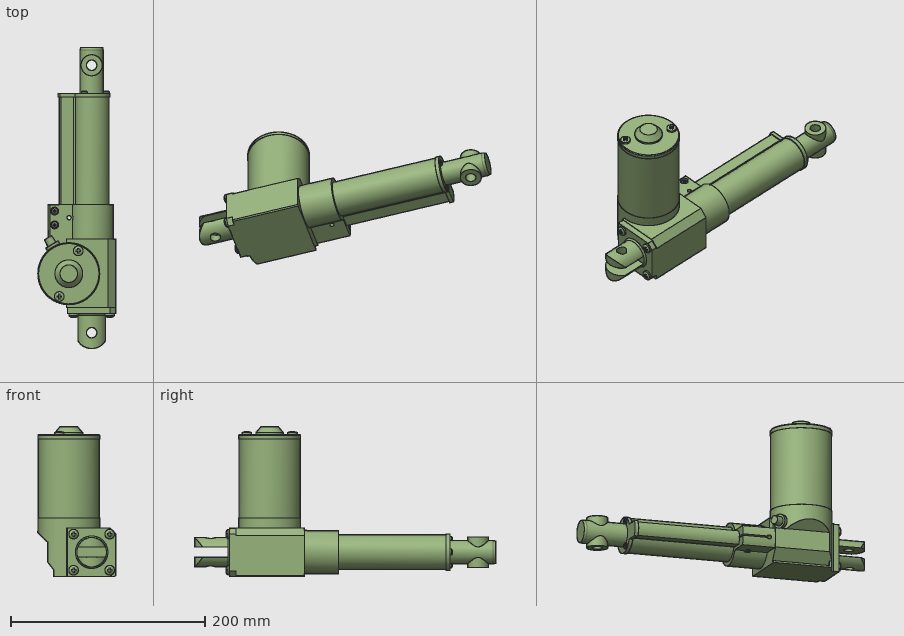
import cadquery as cq
import math


OVERALL_LENGTH = 310
HOLE_RADIUS = 5.3

MOTOR_X = -23.5
MOTOR_RADIUS = 32.0
MOTOR_BOTTOM = 35.3
MOTOR_LID_BOTTOM = 116.5
MOTOR_TOP = 121.2
MOTOR_LID_LIP = 0.3
MOTOR_EDGE_CHAMFER = 1.0
BOSS_RADIUS = 14.3
BOSS_TOP_RADIUS = 9.0
BOSS_RIM = 2.0
BOSS_TOP = 129.2
MOTOR_SCREW_CIRCLE = 25.5
MOTOR_SCREW_ANGLE = 67.5
MOTOR_SCREW_HEIGHT = 2.8

HOUSING_BOTTOM = -25.0
BOX_TOP = 25.0
BOX_LEFT = -26.0
BOX_RIGHT = 24.8
BOX_FRONT = -34.7
BOX_BACK = 35.5
BOX_TOP_CHAMFER = 7.7
BOX_BOTTOM_CHAMFER = 1.2
PLATE_TOP = 24.8
PLATE_LEFT = -25.0
PLATE_FRONT = -41.2
PLATE_CHAMFER = 6.0
PLATE_SCREW_OFFSET = 18.5

PAD_LEFT = -45.2
PAD_HALF_HEIGHT = 10.2
UNDERCUT_TOP = 20.0
FOOT_LEFT = -39.0
FOOT_BEVEL_Z = -18.3
FOOT_THICKNESS = 2.0
FOOT_POCKET_FRONT = -25.5

SLEEVE_RADIUS = 22.3
SLEEVE_BACK = 71.0
BRACKET_LEFT = -45.0
BRACKET_BULGE = 2.2
SLIT_WIDTH = 1.5
SLIT_END = 42.5
SLIT_HOLE_RADIUS = 2.2
CROSS_HOLE_X = -23.2
CROSS_HOLE_Y = 57.5
CROSS_HOLE_RADIUS = 2.0
SPOT_RADIUS_TOP = 4.0
SPOT_RADIUS_BOTTOM = 5.0
SPOT_HEIGHT_TOP = 6.2
SPOT_HEIGHT_BOTTOM = 1.2
CLAMP_SCREW_X = -38.0
CLAMP_SCREW_YS = (50.2, 64.5)
CLAMP_RECESS_RADIUS = 4.0
CLAMP_RECESS_DEPTH = 2.5
CLAMP_HEAD_RADIUS = 3.0
CLAMP_HEAD_HEIGHT = 2.0

GLAND_ANGLE = 120
GLAND_Z = 18.5
GLAND_COLLAR_RADIUS = 7.5
GLAND_COLLAR_END = 34.7
GLAND_STUB_RADIUS = 5.0
GLAND_TIP_RADIUS = 4.3
GLAND_END = 42.8

CLEVIS_RADIUS = 15.2
CLEVIS_FLARE_RADIUS = 16.7
CLEVIS_FLARE_HEIGHT = 2.0
CLEVIS_SLOT_WIDTH = 10.2
CLEVIS_HOLE_Y = -60.7
CLEVIS_TIP_RADIUS = 16.5

TUBE_RADIUS = 18.0
CAP_FRONT = 181.5
CAP_BACK = 185.5
CAP_RADIUS = 19.0
CAP_RAIL_LEFT = -34.7
CAP_RAIL_HALF_HEIGHT = 8.0
RAIL_LEFT = -33.5
RAIL_HALF_HEIGHT = 7.0
RAIL_BULGE = 2.2
RAIL_GROOVE_LEFT = -18.5
RAIL_GROOVE_DEPTH = 1.0
CAP_SCREW_CIRCLE = 15.2
CAP_SCREW_RADIUS = 3.0
CAP_SCREW_HEIGHT = 2.5
CAP_SCREW_COUNT = 3

ROD_RADIUS = 12.0
ROD_TAPER_LENGTH = 2.8
ROD_TAPER_DEPTH = 0.5
EYE_Y = 214.5
EYE_RADIUS = 11.0
EYE_HALF_HEIGHT = 15.8

SCREW_RADIUS = 5.0
SCREW_RIM = 2.0
SCREW_HEIGHT = 3.7
RECESS_DEPTH = 1.5
RECESS_LENGTH = 4.5
RECESS_WIDTH = 1.4

CLEVIS_SLOT_END = PLATE_FRONT - CLEVIS_FLARE_HEIGHT
CLEVIS_TIP = CLEVIS_HOLE_Y - CLEVIS_TIP_RADIUS
ROD_END = CLEVIS_TIP + OVERALL_LENGTH


def box(x_range, y_range, z_range):
    """Block between the given low and high limits on each axis."""
    limits = (x_range, y_range, z_range)
    sizes = [high - low for low, high in limits]
    corner = tuple(low for low, high in limits)
    return cq.Workplane("XY").box(*sizes, centered=False).translate(corner)


def bar_y(radius, y_start, y_end):
    """Round bar on the actuator axis."""
    return cq.Workplane("XZ", origin=(0, y_start, 0)).circle(radius).extrude(y_start - y_end)


def bar_z(radius, x, y, z_start, z_end):
    """Upright round bar."""
    return cq.Workplane("XY", origin=(x, y, z_start)).circle(radius).extrude(z_end - z_start)


def prism_y(points, y_start, y_end):
    """Outline of (X, Z) points extruded along Y."""
    return cq.Workplane("XZ", origin=(0, y_start, 0)).polyline(points).close().extrude(y_start - y_end)


def bulged_bar(left, bulge, half_height, y_start, y_end):
    """Bar along Y, from the actuator axis out to a left side that bulges as an arc."""
    shoulder = left + bulge
    return (
        cq.Workplane("XZ", origin=(0, y_start, 0))
        .moveTo(0, half_height)
        .lineTo(shoulder, half_height)
        .threePointArc((left, 0), (shoulder, -half_height))
        .lineTo(0, -half_height)
        .close()
        .extrude(y_start - y_end)
    )


def screw_head(radius, rim, height):
    """Domed head standing on Z = 0 with a cross recess in its top."""
    head = (
        cq.Workplane("XZ")
        .lineTo(radius, 0)
        .lineTo(radius, rim)
        .threePointArc((0.7 * radius, rim + 0.7 * (height - rim)), (0, height))
        .close()
        .revolve(360, (0, 0, 0), (0, 1, 0))
    )
    recess_scale = radius / SCREW_RADIUS
    for angle in (0, 90):
        slot = (
            cq.Workplane("XY", origin=(0, 0, height - RECESS_DEPTH * recess_scale))
            .rect(RECESS_LENGTH * recess_scale, RECESS_WIDTH * recess_scale)
            .extrude(height)
        )
        head = head.cut(slot.rotate((0, 0, 0), (0, 0, 1), angle))
    return head


def make_motor():
    can = bar_z(MOTOR_RADIUS - MOTOR_LID_LIP, MOTOR_X, 0, MOTOR_BOTTOM, MOTOR_LID_BOTTOM)
    lid = bar_z(MOTOR_RADIUS, MOTOR_X, 0, MOTOR_LID_BOTTOM, MOTOR_TOP)
    lid = lid.faces(">Z").chamfer(MOTOR_EDGE_CHAMFER)
    rim_top = MOTOR_TOP + BOSS_RIM
    boss = (
        cq.Workplane("XZ", origin=(MOTOR_X, 0, 0))
        .polyline([
            (0, MOTOR_TOP),
            (BOSS_RADIUS, MOTOR_TOP),
            (BOSS_RADIUS, rim_top),
            (BOSS_TOP_RADIUS, BOSS_TOP),
            (0, BOSS_TOP),
        ])
        .close()
        .revolve(360, (0, 0, 0), (0, 1, 0))
    )
    motor = can.union(lid).union(boss)
    for angle in (MOTOR_SCREW_ANGLE, MOTOR_SCREW_ANGLE + 180):
        x = MOTOR_X + MOTOR_SCREW_CIRCLE * math.cos(math.radians(angle))
        y = MOTOR_SCREW_CIRCLE * math.sin(math.radians(angle))
        head = screw_head(SCREW_RADIUS, SCREW_RIM, MOTOR_SCREW_HEIGHT)
        motor = motor.union(head.translate((x, y, MOTOR_TOP)))
    return motor


def make_motor_seat():
    """Round motor seat with the flat side pad, bevelled above and below and standing on a foot."""
    seat = bar_z(MOTOR_RADIUS, MOTOR_X, 0, HOUSING_BOTTOM, MOTOR_BOTTOM)
    pad_block = box((PAD_LEFT, MOTOR_X), (0, BOX_BACK), (HOUSING_BOTTOM, PAD_HALF_HEIGHT))
    seat_left = MOTOR_X - MOTOR_RADIUS
    outside = seat_left - 3
    below = HOUSING_BOTTOM - 3
    trim = prism_y(
        [
            (outside, UNDERCUT_TOP),
            (seat_left, UNDERCUT_TOP),
            (PAD_LEFT, PAD_HALF_HEIGHT),
            (PAD_LEFT, -PAD_HALF_HEIGHT),
            (FOOT_LEFT, FOOT_BEVEL_Z),
            (FOOT_LEFT, below),
            (outside, below),
        ],
        -MOTOR_RADIUS,
        BOX_BACK,
    )
    foot_top = HOUSING_BOTTOM + FOOT_THICKNESS
    bevel_slope = (FOOT_LEFT - PAD_LEFT) / (-PAD_HALF_HEIGHT - FOOT_BEVEL_Z)
    pocket_depth_x = FOOT_LEFT + bevel_slope * (FOOT_BEVEL_Z - foot_top)
    pocket = prism_y(
        [(FOOT_LEFT, FOOT_BEVEL_Z), (pocket_depth_x, foot_top), (FOOT_LEFT, foot_top)],
        FOOT_POCKET_FRONT,
        BOX_BACK,
    )
    return seat.union(pad_block).cut(trim).cut(pocket)


def make_gearbox():
    """Gearbox block with its front plate and four plate screws."""
    block = box((BOX_LEFT, BOX_RIGHT), (BOX_FRONT, BOX_BACK), (HOUSING_BOTTOM, BOX_TOP))
    block = block.edges("|Y and >X and >Z").chamfer(BOX_TOP_CHAMFER)
    block = block.edges("|Y and >X and <Z").chamfer(BOX_BOTTOM_CHAMFER)
    plate = box((PLATE_LEFT, BOX_RIGHT), (PLATE_FRONT, BOX_FRONT), (HOUSING_BOTTOM, PLATE_TOP))
    plate = plate.edges("|Y and >X").chamfer(PLATE_CHAMFER)
    gearbox = block.union(plate)
    head = screw_head(SCREW_RADIUS, SCREW_RIM, SCREW_HEIGHT).rotate((0, 0, 0), (1, 0, 0), 90)
    for x in (-PLATE_SCREW_OFFSET, PLATE_SCREW_OFFSET):
        for z in (-PLATE_SCREW_OFFSET, PLATE_SCREW_OFFSET):
            gearbox = gearbox.union(head.translate((x, PLATE_FRONT, z)))
    return gearbox


def make_clamp():
    """Clamp sleeve with its slit bracket, cross hole and two sunk clamp screws."""
    sleeve = bar_y(SLEEVE_RADIUS, BOX_BACK, SLEEVE_BACK)
    bracket = bulged_bar(BRACKET_LEFT, BRACKET_BULGE, PAD_HALF_HEIGHT, BOX_BACK, SLEEVE_BACK)
    slit = box((BRACKET_LEFT, -SLEEVE_RADIUS), (SLIT_END, SLEEVE_BACK), (-SLIT_WIDTH / 2, SLIT_WIDTH / 2))
    slit_hole = (
        cq.Workplane("YZ", origin=(BRACKET_LEFT, SLIT_END, 0))
        .circle(SLIT_HOLE_RADIUS)
        .extrude(-SLEEVE_RADIUS - BRACKET_LEFT)
    )
    clamp = sleeve.union(bracket).cut(slit).cut(slit_hole)

    top, bottom = PAD_HALF_HEIGHT, -PAD_HALF_HEIGHT
    clamp = clamp.cut(bar_z(CROSS_HOLE_RADIUS, CROSS_HOLE_X, CROSS_HOLE_Y, bottom, top))
    clamp = clamp.cut(bar_z(SPOT_RADIUS_TOP, CROSS_HOLE_X, CROSS_HOLE_Y, top, top + SPOT_HEIGHT_TOP))
    spot_bottom = bottom - SPOT_HEIGHT_BOTTOM
    clamp = clamp.cut(bar_z(SPOT_RADIUS_BOTTOM, CROSS_HOLE_X, CROSS_HOLE_Y, spot_bottom, bottom))

    head = screw_head(CLAMP_HEAD_RADIUS, CLAMP_HEAD_HEIGHT / 2, CLAMP_HEAD_HEIGHT)
    floor = top - CLAMP_RECESS_DEPTH
    for y in CLAMP_SCREW_YS:
        clamp = clamp.cut(bar_z(CLAMP_RECESS_RADIUS, CLAMP_SCREW_X, y, floor, top))
        clamp = clamp.union(head.translate((CLAMP_SCREW_X, y, floor)))
    return clamp


def make_gland():
    """Cable gland: a collar and a slightly tapered stub pointing away from the motor axis."""
    start = MOTOR_RADIUS / 2
    gland = (
        cq.Workplane("XY")
        .polyline([
            (start, 0),
            (start, GLAND_COLLAR_RADIUS),
            (GLAND_COLLAR_END, GLAND_COLLAR_RADIUS),
            (GLAND_COLLAR_END, GLAND_STUB_RADIUS),
            (GLAND_END, GLAND_TIP_RADIUS),
            (GLAND_END, 0),
        ])
        .close()
        .revolve(360, (0, 0, 0), (1, 0, 0))
    )
    return gland.rotate((0, 0, 0), (0, 0, 1), GLAND_ANGLE).translate((MOTOR_X, 0, GLAND_Z))


def make_housing():
    return make_motor_seat().union(make_gearbox()).union(make_clamp()).union(make_gland())


def make_clevis():
    """Forked end with a rounded tip, a slot and a cross hole."""
    bar = bar_y(CLEVIS_RADIUS, CLEVIS_TIP, PLATE_FRONT)
    side = (-CLEVIS_RADIUS, CLEVIS_RADIUS)
    tip = bar_z(CLEVIS_TIP_RADIUS, 0, CLEVIS_HOLE_Y, *side)
    shank = box(side, (CLEVIS_HOLE_Y, PLATE_FRONT), side)
    flare = (
        cq.Workplane("XY")
        .polyline([
            (0, CLEVIS_SLOT_END),
            (CLEVIS_RADIUS, CLEVIS_SLOT_END),
            (CLEVIS_FLARE_RADIUS, PLATE_FRONT),
            (0, PLATE_FRONT),
        ])
        .close()
        .revolve(360, (0, 0, 0), (0, 1, 0))
    )
    half_slot = CLEVIS_SLOT_WIDTH / 2
    slot = box(side, (CLEVIS_TIP, CLEVIS_SLOT_END), (-half_slot, half_slot))
    hole = bar_z(HOLE_RADIUS, 0, CLEVIS_HOLE_Y, *side)
    return bar.intersect(tip.union(shank)).union(flare).cut(slot).cut(hole)


def make_tube():
    """Outer tube with the side rail and the screwed end cap."""
    tube = bar_y(TUBE_RADIUS, SLEEVE_BACK, CAP_FRONT)
    rail = bulged_bar(RAIL_LEFT, RAIL_BULGE, RAIL_HALF_HEIGHT, SLEEVE_BACK, CAP_FRONT)
    groove_floor = RAIL_HALF_HEIGHT - RAIL_GROOVE_DEPTH
    groove_x = (RAIL_GROOVE_LEFT, 0)
    groove_y = (SLEEVE_BACK, CAP_FRONT)
    rail = rail.cut(box(groove_x, groove_y, (groove_floor, RAIL_HALF_HEIGHT)))
    rail = rail.cut(box(groove_x, groove_y, (-RAIL_HALF_HEIGHT, -groove_floor)))

    cap = bar_y(CAP_RADIUS, CAP_FRONT, CAP_BACK)
    cap_ear = bulged_bar(CAP_RAIL_LEFT, RAIL_BULGE, CAP_RAIL_HALF_HEIGHT, CAP_FRONT, CAP_BACK)
    tube = tube.union(rail).union(cap).union(cap_ear)

    head = screw_head(CAP_SCREW_RADIUS, CAP_SCREW_HEIGHT / 2, CAP_SCREW_HEIGHT)
    head = head.rotate((0, 0, 0), (1, 0, 0), -90).translate((CAP_SCREW_CIRCLE, CAP_BACK, 0))
    for index in range(CAP_SCREW_COUNT):
        tube = tube.union(head.rotate((0, 0, 0), (0, 1, 0), index * 360 / CAP_SCREW_COUNT))
    return tube


def make_rod():
    rod = bar_y(ROD_RADIUS, CAP_BACK, ROD_END)
    rod = rod.faces(">Y").chamfer(ROD_TAPER_LENGTH, ROD_TAPER_DEPTH)
    eye = bar_z(EYE_RADIUS, 0, EYE_Y, -EYE_HALF_HEIGHT, EYE_HALF_HEIGHT)
    hole = bar_z(HOLE_RADIUS, 0, EYE_Y, -EYE_HALF_HEIGHT, EYE_HALF_HEIGHT)
    return rod.union(eye).cut(hole)


motor = make_motor().solids()
housing = make_housing().solids()
clevis = make_clevis().solids()
tube = make_tube().solids()
rod = make_rod().solids()

result = cq.Compound.makeCompound([motor.val(), housing.val(), clevis.val(), tube.val(), rod.val()])